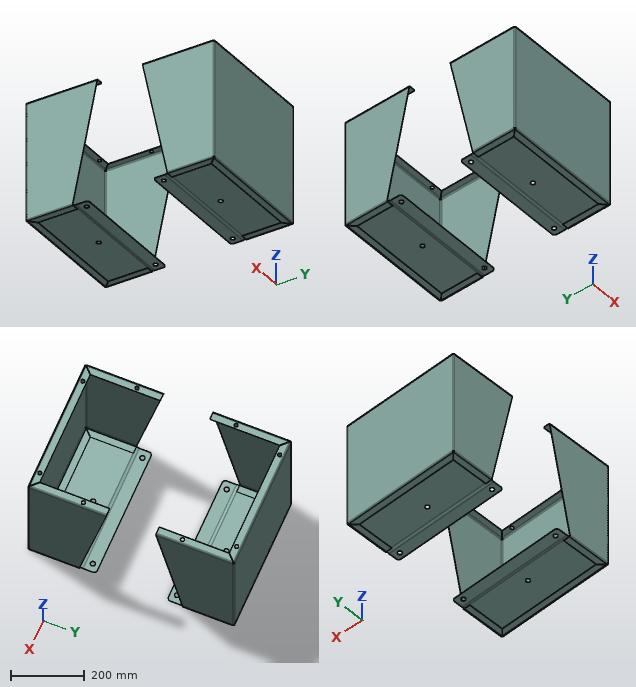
import cadquery as cq
import math

WIDTH = 406.5
LENGTH = 609.5
HEIGHT = 381.0

SHEET = 2.5
BEND_INNER = 2.0
BEND_RADIUS = SHEET + BEND_INNER

SIDE_TOP_DEPTH = 231.5
SIDE_BOTTOM_DEPTH = 152.5
FLANGE_WIDTH = 25.0
FLANGE_CORNER_RADIUS = 3.5
MITRE_GAP = 2.0
STRAIGHT_WIDTH = WIDTH - 2 * BEND_RADIUS

FLANGE_HOLE_DIAMETER = 11.0
FLANGE_HOLE_INSET = 14.0
WALL_FLANGE_HOLE_X = 152.0
SIDE_FLANGE_HOLE_DEPTH = 158.5

FLOOR_WIDTH = STRAIGHT_WIDTH
FLOOR_DEPTH = 200.0
JOGGLE_START = SIDE_BOTTOM_DEPTH
JOGGLE_LENGTH = 9.0
LIP_CORNER_RADIUS = 10.0
FLOOR_HOLE_DIAMETER = 14.0
FLOOR_HOLE_DEPTH = 108.0
LIP_HOLE_X = 175.0
LIP_HOLE_DEPTH = 180.5

WALL_Y = -LENGTH / 2
HALF_WIDTH = WIDTH / 2


def holes(diameter, points, bottom, height):
    """Vertical cylinders for cutting holes at the given XY points."""
    return (
        cq.Workplane("XY", origin=(0, 0, bottom))
        .pushPoints(points)
        .circle(diameter / 2)
        .extrude(height)
    )


def flange_strip(length):
    """Flange along +X with its quarter bend: outer face at Y = 0, underside at Z = 0, flat towards +Y."""
    diagonal = math.sqrt(0.5)
    outer_mid = BEND_RADIUS * (1 - diagonal)
    inner_mid = BEND_RADIUS - BEND_INNER * diagonal
    return (
        cq.Workplane("YZ")
        .moveTo(0, BEND_RADIUS)
        .threePointArc((outer_mid, outer_mid), (BEND_RADIUS, 0))
        .lineTo(FLANGE_WIDTH, 0)
        .lineTo(FLANGE_WIDTH, SHEET)
        .lineTo(BEND_RADIUS, SHEET)
        .threePointArc((inner_mid, inner_mid), (SHEET, BEND_RADIUS))
        .close()
        .extrude(length)
    )


def mitre_cutter(strip_end, inward):
    """Prism that cuts a strip end at 45 degrees; inward is +1 or -1, the X direction into the strip."""
    corner = strip_end + inward * MITRE_GAP / 2
    return (
        cq.Workplane("XY")
        .moveTo(strip_end, BEND_RADIUS - MITRE_GAP / 2)
        .lineTo(corner, BEND_RADIUS)
        .lineTo(corner + inward * FLANGE_WIDTH, BEND_RADIUS + FLANGE_WIDTH)
        .lineTo(strip_end, BEND_RADIUS + FLANGE_WIDTH)
        .close()
        .extrude(BEND_RADIUS)
    )


def wall_flange():
    """Bottom flange of the wall, mitred at both ends."""
    length = STRAIGHT_WIDTH
    strip = flange_strip(length).cut(mitre_cutter(0, 1)).cut(mitre_cutter(length, -1))
    return strip.translate((-length / 2, WALL_Y, 0))


def side_flange(depth):
    """Bottom flange of the -X side, mitred at the wall and ending square at the given depth."""
    length = depth - BEND_RADIUS
    strip = flange_strip(length).cut(mitre_cutter(length, -1))
    turned = strip.rotate((0, 0, 0), (0, 0, 1), -90)
    return turned.translate((-HALF_WIDTH, WALL_Y + depth, 0))


def on_top(flange):
    """Bottom flange moved to the top edge."""
    return flange.mirror("XY").translate((0, 0, HEIGHT))


def rounded_block(inset, corner_radius, bottom, top):
    """Block set in from the wall and sides, with its two vertical edges at the wall rounded."""
    return (
        cq.Workplane("XY", origin=(0, WALL_Y + inset + SIDE_TOP_DEPTH / 2, bottom))
        .rect(WIDTH - 2 * inset, SIDE_TOP_DEPTH)
        .extrude(top - bottom)
        .edges("|Z and <Y")
        .fillet(corner_radius)
    )


def shell_walls():
    """Wall and two sides bent from one sheet, with slanted free edges on the sides."""
    low = BEND_RADIUS
    high = HEIGHT - BEND_RADIUS

    side_outline = (
        cq.Workplane("YZ", origin=(-HALF_WIDTH, WALL_Y, 0))
        .polyline([(0, low), (SIDE_BOTTOM_DEPTH, low), (SIDE_TOP_DEPTH, high), (0, high)])
        .close()
        .extrude(WIDTH)
    )
    outer = rounded_block(0, BEND_RADIUS, low, high)
    inner = rounded_block(SHEET, BEND_INNER, low, high)
    return outer.cut(inner).intersect(side_outline)


def make_shell():
    """Front shell: wall, sides, bottom flanges and drilled top flanges."""
    top_side = (
        on_top(side_flange(SIDE_TOP_DEPTH))
        .edges("|Z and >X and >Y")
        .fillet(FLANGE_CORNER_RADIUS)
    )
    shell = shell_walls().union(wall_flange()).union(on_top(wall_flange()))
    for flange in (side_flange(SIDE_BOTTOM_DEPTH), top_side):
        shell = shell.union(flange).union(flange.mirror("YZ"))

    hole_points = []
    for sign in (-1, 1):
        hole_points.append((sign * WALL_FLANGE_HOLE_X, WALL_Y + FLANGE_HOLE_INSET))
        hole_points.append((sign * (HALF_WIDTH - FLANGE_HOLE_INSET), WALL_Y + SIDE_FLANGE_HOLE_DEPTH))
    return shell.cut(holes(FLANGE_HOLE_DIAMETER, hole_points, HEIGHT - BEND_RADIUS, 2 * BEND_RADIUS))


def make_floor():
    """Front floor plate: lies on the bottom flanges and steps down one sheet to a drilled lip."""
    joggle_end = JOGGLE_START + JOGGLE_LENGTH
    profile = [
        (BEND_RADIUS, SHEET),
        (JOGGLE_START, SHEET),
        (joggle_end, 0),
        (FLOOR_DEPTH, 0),
        (FLOOR_DEPTH, SHEET),
        (joggle_end, SHEET),
        (JOGGLE_START, 2 * SHEET),
        (BEND_RADIUS, 2 * SHEET),
    ]
    plate = (
        cq.Workplane("YZ", origin=(-FLOOR_WIDTH / 2, WALL_Y, 0))
        .polyline(profile)
        .close()
        .extrude(FLOOR_WIDTH)
        .edges("|Z and >Y")
        .fillet(LIP_CORNER_RADIUS)
    )
    hole_points = [
        (0, WALL_Y + FLOOR_HOLE_DEPTH),
        (-LIP_HOLE_X, WALL_Y + LIP_HOLE_DEPTH),
        (LIP_HOLE_X, WALL_Y + LIP_HOLE_DEPTH),
    ]
    return plate.cut(holes(FLOOR_HOLE_DIAMETER, hole_points, 0, 2 * SHEET))


shell = make_shell()
floor = make_floor()

bodies = []
for turn in (0, 180):
    for body in (shell, floor):
        turned_body = body.rotate((0, 0, 0), (0, 0, 1), turn)
        bodies.append(turned_body.solids().val())

result = cq.Compound.makeCompound(bodies)